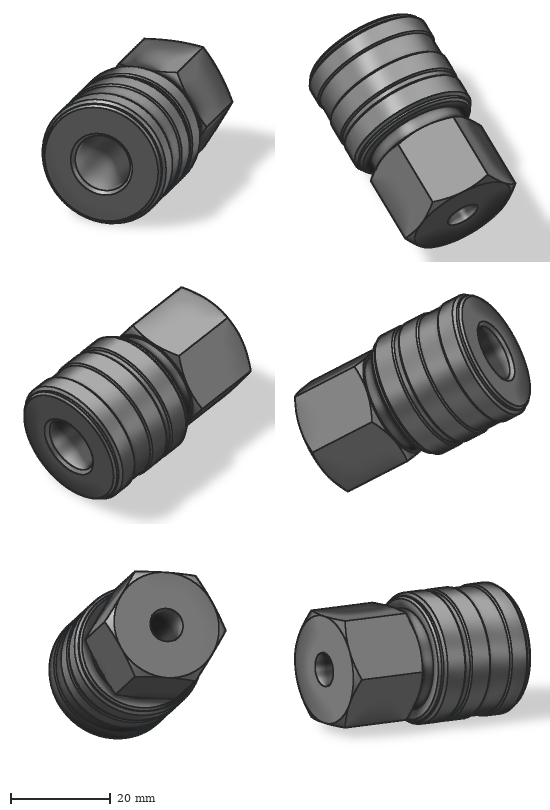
import cadquery as cq
import math


sleeve_length = 22.0
neck_length = 3.0
hex_length = 16.5
total_length = sleeve_length + neck_length + hex_length

band_radius = 13.4
groove_radius = 13.05
lip_radius = 12.75
lip_chamfer = 0.5
lip_width = 1.0
lip_slope_length = 0.55
groove_slope_length = band_radius - groove_radius
grooves = [
    (5.05, 10.4),
    (14.57, 16.33),
]

neck_radius = 10.4
hex_across_flats = 22.0
hex_across_corners = hex_across_flats / math.cos(math.radians(30))
hex_chamfer_angle = 30.0

socket_radius = 5.95
socket_chamfer = 0.7
socket_depth = sleeve_length
through_radius = 3.45


def revolve_about_y(points):
    """Solid of revolution from (radius, y) points, closed along the axis."""
    profile = cq.Workplane("XY").polyline(points).close()
    return profile.revolve(360, (0, 0, 0), (0, 1, 0))


def cylinder_along_y(radius, start, length):
    """Cylinder on the Y axis running from start toward +Y."""
    return cq.Workplane("XZ", origin=(0, start, 0)).circle(radius).extrude(-length)


def make_sleeve():
    points = [
        (0, 0),
        (lip_radius - lip_chamfer, 0),
        (lip_radius, lip_chamfer),
        (lip_radius, lip_width),
        (band_radius, lip_width + lip_slope_length),
    ]
    for start, end in grooves:
        points += [
            (band_radius, start),
            (groove_radius, start + groove_slope_length),
            (groove_radius, end - groove_slope_length),
            (band_radius, end),
        ]
    points += [
        (band_radius, sleeve_length - lip_width - lip_slope_length),
        (lip_radius, sleeve_length - lip_width),
        (lip_radius, sleeve_length - lip_chamfer),
        (lip_radius - lip_chamfer, sleeve_length),
        (0, sleeve_length),
    ]
    return revolve_about_y(points)


def make_hexagon():
    """Hexagon with corners on the X axis and both ends chamfered down to the flats."""
    start = total_length - hex_length
    prism = (
        cq.Workplane("XZ", origin=(0, start, 0))
        .polygon(6, hex_across_corners)
        .extrude(-hex_length)
    )
    face_radius = hex_across_flats / 2
    corner_radius = hex_across_corners / 2
    chamfer_length = (corner_radius - face_radius) * math.tan(math.radians(hex_chamfer_angle))
    envelope = revolve_about_y([
        (0, start),
        (face_radius, start),
        (corner_radius, start + chamfer_length),
        (corner_radius, total_length - chamfer_length),
        (face_radius, total_length),
        (0, total_length),
    ])
    return prism.intersect(envelope)


def make_socket():
    """Blind bore with a chamfered mouth for the mating plug."""
    return revolve_about_y([
        (0, 0),
        (socket_radius + socket_chamfer, 0),
        (socket_radius, socket_chamfer),
        (socket_radius, socket_depth),
        (0, socket_depth),
    ])


neck = cylinder_along_y(neck_radius, sleeve_length, neck_length)
through_bore = cylinder_along_y(through_radius, 0, total_length)

body = make_sleeve().union(neck).union(make_hexagon())
result = body.cut(make_socket()).cut(through_bore)